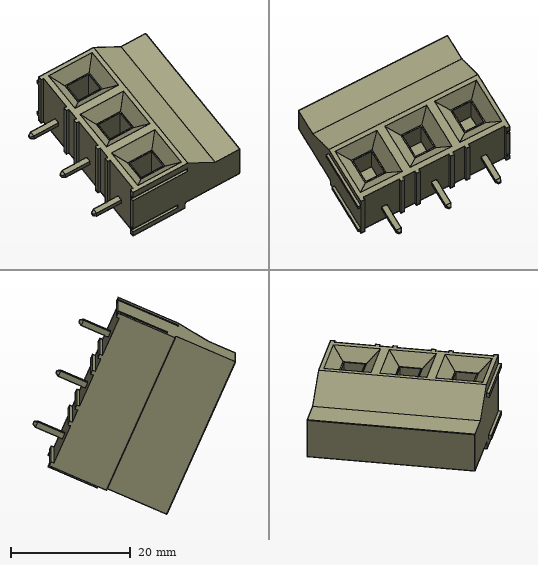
import cadquery as cq

POLES = 3
PITCH = 9.52
WIDTH = POLES * PITCH
HEIGHT = 12.5
DEPTH = 21.5

TOP_DEPTH = 11.0
SHELF_START = 16.5
SHELF_Z = 8.5
FOOT_DEPTH = 10.5
STEP_Z = 1.5
FOOT_FILLET = 0.3
BACK_CHAMFER = 0.1

RIB_WIDTH = 0.75
RIB_DEPTH = 0.5
RIB_TO_POLE_BORDER = 1.5

RAIL_OUT = 0.5
RAIL_HEIGHT = 0.75
UPPER_RAIL_Z = 10.15
UPPER_RAIL_LENGTH = TOP_DEPTH
LOWER_RAIL_Z = 1.2
LOWER_RAIL_LENGTH = 9.0

FUNNEL_WALL = 0.75
FUNNEL_Y = 5.85
FUNNEL_TOP = (PITCH - 2 * FUNNEL_WALL, 8.7)
FUNNEL_BOTTOM = (4.0, 4.85)
FUNNEL_DEPTH = 2.0
CLAMP_OPENING = (3.55, 4.4)
CLAMP_DEPTH = 6.0

PIN_WIDTH = 1.0
PIN_HEIGHT = 0.9
PIN_LENGTH = 5.0
PIN_Z = 4.6
TIP_LENGTH = 0.55
TIP_SCALE = 0.45

pole_centres = [(pole + 0.5) * PITCH for pole in range(POLES)]


def box(x, y, z, width, depth, height):
    """Box with its lowest corner at (x, y, z)."""
    return cq.Workplane("XY").box(width, depth, height, centered=False).translate((x, y, z))


def housing_block():
    profile = [
        (0, 0),
        (FOOT_DEPTH, 0),
        (FOOT_DEPTH, STEP_Z),
        (DEPTH, STEP_Z),
        (DEPTH, SHELF_Z),
        (SHELF_START, SHELF_Z),
        (TOP_DEPTH, HEIGHT),
        (0, HEIGHT),
    ]
    block = cq.Workplane("YZ").polyline(profile).close().extrude(WIDTH)
    block = block.faces(">Y").chamfer(BACK_CHAMFER)
    step_face_centre = (WIDTH / 2, FOOT_DEPTH, STEP_Z / 2)
    step_face = block.faces(cq.NearestToPointSelector(step_face_centre))
    return step_face.edges("|X").fillet(FOOT_FILLET)


def front_recesses():
    """Shallow full-height recesses that leave the ribs standing on the front."""
    rib_centres = [RIB_WIDTH / 2]
    for border in range(1, POLES):
        rib_centres.append(border * PITCH - RIB_TO_POLE_BORDER)
        rib_centres.append(border * PITCH + RIB_TO_POLE_BORDER)
    rib_centres.append(WIDTH - RIB_WIDTH / 2)

    recesses = cq.Workplane("XY")
    for left, right in zip(rib_centres, rib_centres[1:]):
        start = left + RIB_WIDTH / 2
        gap = right - left - RIB_WIDTH
        recesses = recesses.add(box(start, 0, 0, gap, RIB_DEPTH, HEIGHT))
    return recesses.combine()


def coupling_bars(x):
    """Upper and lower bar, used as rails at the left wall and as grooves at the right."""
    upper = box(x, 0, UPPER_RAIL_Z, RAIL_OUT, UPPER_RAIL_LENGTH, RAIL_HEIGHT)
    lower = box(x, 0, LOWER_RAIL_Z, RAIL_OUT, LOWER_RAIL_LENGTH, RAIL_HEIGHT)
    return upper.add(lower).combine()


def wire_entry(x):
    """Rectangular funnel with a narrower clamp opening below its floor."""
    floor_z = HEIGHT - FUNNEL_DEPTH
    funnel = (
        cq.Workplane("XY", origin=(x, FUNNEL_Y, floor_z))
        .rect(*FUNNEL_BOTTOM)
        .workplane(offset=FUNNEL_DEPTH)
        .rect(*FUNNEL_TOP)
        .loft()
    )
    opening_plane = cq.Workplane("XY", origin=(x, FUNNEL_Y, floor_z))
    opening = opening_plane.rect(*CLAMP_OPENING).extrude(-CLAMP_DEPTH)
    return funnel.union(opening)


def solder_pin(x):
    """Rectangular pin with a tapered tip, rooted in the recessed front wall."""
    shank_length = PIN_LENGTH - TIP_LENGTH
    shank = (
        cq.Workplane("XZ", origin=(x, RIB_DEPTH, PIN_Z))
        .rect(PIN_WIDTH, PIN_HEIGHT)
        .extrude(RIB_DEPTH + shank_length)
    )
    tip = (
        cq.Workplane("XZ", origin=(x, -shank_length, PIN_Z))
        .rect(PIN_WIDTH, PIN_HEIGHT)
        .workplane(offset=TIP_LENGTH)
        .rect(PIN_WIDTH * TIP_SCALE, PIN_HEIGHT * TIP_SCALE)
        .loft()
    )
    return shank.union(tip)


result = housing_block().cut(front_recesses())
result = result.union(coupling_bars(-RAIL_OUT))
result = result.cut(coupling_bars(WIDTH - RAIL_OUT))
for centre in pole_centres:
    result = result.cut(wire_entry(centre))
    result = result.union(solder_pin(centre))